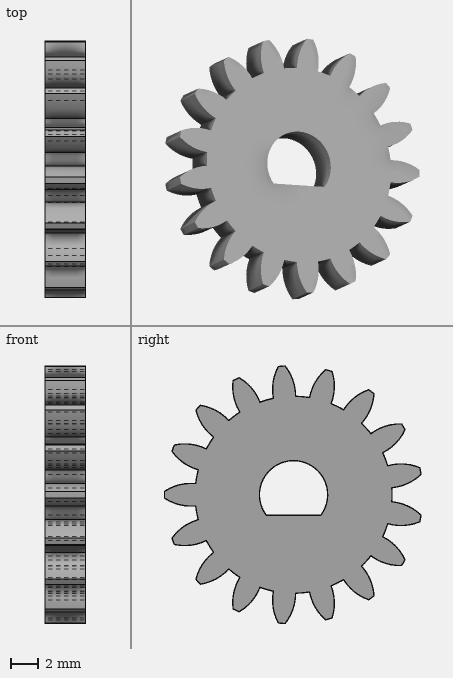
import math

import cadquery as cq

tooth_count = 17
module = 1.0
face_width = 3.0
addendum = module
dedendum = 1.25 * module
pitch_radius = module * tooth_count / 2
tip_radius = pitch_radius + addendum
root_radius = pitch_radius - dedendum

root_half_width = 0.83
pitch_half_width = 0.718
tip_half_width = 0.25
tooth_embedding = 1.0

bore_radius = 2.5
flat_distance = 1.5


def on_circle(radius, half_width):
    """Point of the given circle at a half width from the tooth's centreline."""
    return (math.sqrt(radius**2 - half_width**2), half_width)


def mirrored(point):
    """The same point on the opposite flank of the tooth."""
    return (point[0], -point[1])


def make_tooth():
    """One tooth centred on the local +x axis, reaching inside the root circle."""
    root = on_circle(root_radius, root_half_width)
    middle = on_circle(pitch_radius, pitch_half_width)
    tip = on_circle(tip_radius, tip_half_width)
    inner = (root_radius - tooth_embedding, root_half_width)
    return (
        cq.Workplane("YZ")
        .moveTo(*mirrored(inner))
        .lineTo(*mirrored(root))
        .threePointArc(mirrored(middle), mirrored(tip))
        .threePointArc((tip_radius, 0), tip)
        .threePointArc(middle, root)
        .lineTo(*inner)
        .close()
        .extrude(face_width)
    )


def make_bore():
    """D-shaped cutter: a round bore cut off straight at the flat."""
    flat_half_length = math.sqrt(bore_radius**2 - flat_distance**2)
    return (
        cq.Workplane("YZ")
        .moveTo(-flat_half_length, -flat_distance)
        .lineTo(flat_half_length, -flat_distance)
        .threePointArc((0, bore_radius), (-flat_half_length, -flat_distance))
        .close()
        .extrude(face_width)
    )


gear = cq.Workplane("YZ").circle(root_radius).extrude(face_width)
tooth = make_tooth()
first_tooth_angle = 180
for index in range(tooth_count):
    angle = first_tooth_angle + index * 360 / tooth_count
    gear = gear.union(tooth.rotate((0, 0, 0), (1, 0, 0), angle))

result = gear.cut(make_bore())